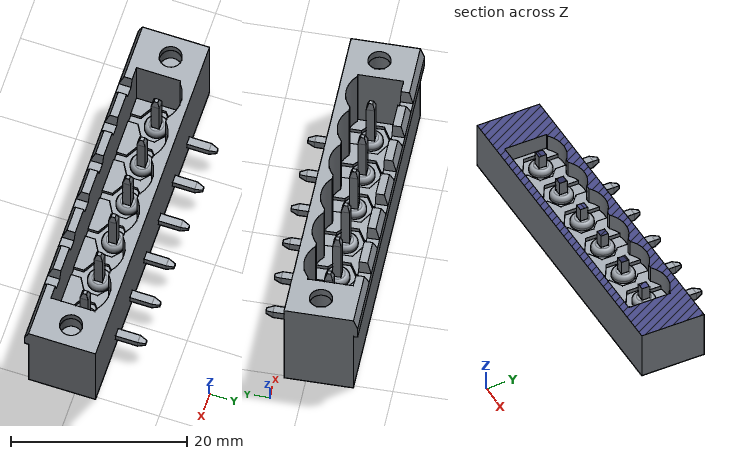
import cadquery as cq
import math

LENGTH = 40.65
HEIGHT = 12.0
REAR_Y = 8.5
LIP_OVERHANG = 0.5
LIP_HEIGHT = 2.8
BEVEL_HEIGHT = 1.35

CONTACT_COUNT = 6
PITCH = 5.1
CONTACT_Y = 4.7
WIRE = 0.98
TIP_LENGTH = 0.85
TIP_WIDTH = 0.45
LEG_Z = 2.1
LEG_END_Y = 12.0
CONTACT_TOP_Z = 10.55

CAVITY_FLOOR_Z = 4.0
CAVITY_FRONT_Y = 1.45
CAVITY_END_MARGIN = 2.55
SCALLOP_EDGE_Y = 6.75
SCALLOP_PEAK_Y = 7.6
SCALLOP_WIDTH = 4.55

KEYHOLE_DEPTH = 0.5
KEYHOLE_WIDTH = 4.05
KEYHOLE_REAR_WIDTH = 2.07
KEYHOLE_FRONT_WIDTH = WIRE
KEYHOLE_NECK_REAR_Y = 6.0
KEYHOLE_SIDE_REAR_Y = 5.15
KEYHOLE_SIDE_FRONT_Y = 3.58
KEYHOLE_NECK_FRONT_Y = 2.7

COLLAR_DIAMETER = 2.75
COLLAR_HEIGHT = 0.8
COLLAR_ROUNDING = 0.53

NOTCH_TOP_WIDTH = 2.05
NOTCH_BOTTOM_WIDTH = 1.2

FLANGE_X = 17.75
BORE_DIAMETER = 2.6
INSERT_DIAMETER = 4.0
INSERT_TOP_DEPTH = 1.0
INSERT_LENGTH = 2.0

FIRST_CONTACT_X = -PITCH * (CONTACT_COUNT - 1) / 2
CONTACT_XS = [FIRST_CONTACT_X + i * PITCH for i in range(CONTACT_COUNT)]
FLANGE_XS = [-FLANGE_X, FLANGE_X]
KEYHOLE_FLOOR_Z = CAVITY_FLOOR_Z - KEYHOLE_DEPTH
NOTCH_FLOOR_Z = HEIGHT - BEVEL_HEIGHT
INSERT_BOTTOM_Z = HEIGHT - INSERT_TOP_DEPTH - INSERT_LENGTH


def make_block():
    """Solid block with the bevelled lip along the top of its front."""
    lip_bottom_z = HEIGHT - LIP_HEIGHT
    profile = [
        (LIP_OVERHANG, 0),
        (REAR_Y, 0),
        (REAR_Y, HEIGHT),
        (LIP_OVERHANG, HEIGHT),
        (0, NOTCH_FLOOR_Z),
        (0, lip_bottom_z),
        (LIP_OVERHANG, lip_bottom_z),
    ]
    return cq.Workplane("YZ").polyline(profile).close().extrude(LENGTH / 2, both=True)


def make_cavity():
    """Plug cavity with one scallop behind each contact."""
    end_x = CONTACT_XS[-1] + CAVITY_END_MARGIN
    outline = (
        cq.Workplane("XY", origin=(0, 0, CAVITY_FLOOR_Z))
        .moveTo(end_x, SCALLOP_EDGE_Y)
        .lineTo(end_x, CAVITY_FRONT_Y)
        .lineTo(-end_x, CAVITY_FRONT_Y)
        .lineTo(-end_x, SCALLOP_EDGE_Y)
    )
    for x in CONTACT_XS:
        outline = outline.lineTo(x - SCALLOP_WIDTH / 2, SCALLOP_EDGE_Y).threePointArc(
            (x, SCALLOP_PEAK_Y), (x + SCALLOP_WIDTH / 2, SCALLOP_EDGE_Y)
        )
    return outline.close().extrude(HEIGHT - CAVITY_FLOOR_Z)


def make_keyhole(x):
    """Recess in the cavity floor, running from the front wall to the scalloped rear wall."""
    scallop_sag = SCALLOP_PEAK_Y - SCALLOP_EDGE_Y
    scallop_radius = ((SCALLOP_WIDTH / 2) ** 2 + scallop_sag**2) / (2 * scallop_sag)
    rear_half = KEYHOLE_REAR_WIDTH / 2
    scallop_centre_y = SCALLOP_PEAK_Y - scallop_radius
    rear_corner_y = scallop_centre_y + math.sqrt(scallop_radius**2 - rear_half**2)
    right_side = [
        (KEYHOLE_FRONT_WIDTH / 2, CAVITY_FRONT_Y),
        (KEYHOLE_FRONT_WIDTH / 2, KEYHOLE_NECK_FRONT_Y),
        (KEYHOLE_WIDTH / 2, KEYHOLE_SIDE_FRONT_Y),
        (KEYHOLE_WIDTH / 2, KEYHOLE_SIDE_REAR_Y),
        (rear_half, KEYHOLE_NECK_REAR_Y),
        (rear_half, rear_corner_y),
    ]
    left_side = [(-dx, y) for dx, y in reversed(right_side)]
    return (
        cq.Workplane("XY", origin=(x, 0, KEYHOLE_FLOOR_Z))
        .polyline(right_side)
        .threePointArc((0, SCALLOP_PEAK_Y), left_side[0])
        .polyline(left_side, includeCurrent=False)
        .close()
        .extrude(KEYHOLE_DEPTH)
    )


def make_collar(x):
    """Round-shouldered collar standing on the keyhole floor."""
    return (
        cq.Workplane("XY", origin=(x, CONTACT_Y, KEYHOLE_FLOOR_Z))
        .circle(COLLAR_DIAMETER / 2)
        .extrude(COLLAR_HEIGHT)
        .faces(">Z")
        .edges()
        .fillet(COLLAR_ROUNDING)
    )


def make_notch(x):
    """Trapezoidal notch through the front wall, narrowing downwards."""
    profile = [
        (-NOTCH_BOTTOM_WIDTH / 2, NOTCH_FLOOR_Z),
        (NOTCH_BOTTOM_WIDTH / 2, NOTCH_FLOOR_Z),
        (NOTCH_TOP_WIDTH / 2, HEIGHT),
        (-NOTCH_TOP_WIDTH / 2, HEIGHT),
    ]
    return cq.Workplane("XZ", origin=(x, 0, 0)).polyline(profile).close().extrude(-CAVITY_FRONT_Y)


def make_tip(base_plane):
    """Tapered end of a contact leg, rising from the given plane."""
    return (
        cq.Workplane(base_plane)
        .rect(WIRE, WIRE)
        .workplane(offset=TIP_LENGTH)
        .rect(TIP_WIDTH, TIP_WIDTH)
        .loft(ruled=True)
    )


def make_contact(x):
    """Square-wire contact bent at a right angle, tapered at both ends."""
    upright_end_z = CONTACT_TOP_Z - TIP_LENGTH
    leg_end_y = LEG_END_Y - TIP_LENGTH
    front_y = CONTACT_Y - WIRE / 2
    bottom_z = LEG_Z - WIRE / 2
    elbow = [
        (front_y, bottom_z),
        (leg_end_y, bottom_z),
        (leg_end_y, bottom_z + WIRE),
        (front_y + WIRE, bottom_z + WIRE),
        (front_y + WIRE, upright_end_z),
        (front_y, upright_end_z),
    ]
    wire = cq.Workplane("YZ", origin=(x, 0, 0)).polyline(elbow).close().extrude(WIRE / 2, both=True)
    top_plane = cq.Plane(origin=(x, CONTACT_Y, upright_end_z), xDir=(1, 0, 0), normal=(0, 0, 1))
    rear_plane = cq.Plane(origin=(x, leg_end_y, LEG_Z), xDir=(1, 0, 0), normal=(0, 1, 0))
    return wire.union(make_tip(top_plane)).union(make_tip(rear_plane))


def make_insert_envelope(x):
    """Space that a ring insert fills, its bore included."""
    return (
        cq.Workplane("XY", origin=(x, CONTACT_Y, INSERT_BOTTOM_Z))
        .circle(INSERT_DIAMETER / 2)
        .extrude(INSERT_LENGTH)
    )


def make_bore(x):
    """Blind bore from the housing top to the bottom of the insert."""
    return (
        cq.Workplane("XY", origin=(x, CONTACT_Y, INSERT_BOTTOM_Z))
        .circle(BORE_DIAMETER / 2)
        .extrude(HEIGHT - INSERT_BOTTOM_Z)
    )


def make_insert(x):
    """Ring insert embedded under a flange hole."""
    return make_insert_envelope(x).cut(make_bore(x))


def make_housing(contacts):
    """Housing with its cavity, notches, collars, contact channels and insert seats."""
    housing = make_block().cut(make_cavity())
    for x in CONTACT_XS:
        housing = housing.cut(make_keyhole(x)).union(make_collar(x)).cut(make_notch(x))
    for contact in contacts:
        housing = housing.cut(contact)
    for x in FLANGE_XS:
        housing = housing.cut(make_bore(x)).cut(make_insert_envelope(x))
    return housing


contacts = [make_contact(x) for x in CONTACT_XS]
inserts = [make_insert(x) for x in FLANGE_XS]
housing = make_housing(contacts)

result = cq.Compound.makeCompound(
    [housing.val(), *[contact.val() for contact in contacts], *[insert.val() for insert in inserts]]
)